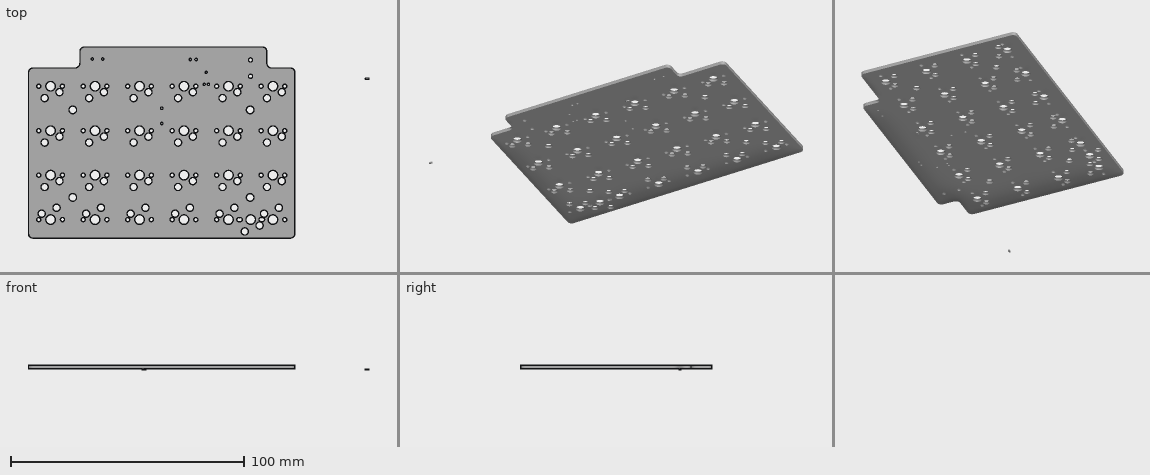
import cadquery as cq

BOARD_WIDTH = 114.2
BOARD_DEPTH = 82.0
BOARD_THICKNESS = 1.6
SHOULDER_Y = 73.0
TAB_LEFT = 22.0
TAB_WIDTH = 80.2
CORNER_RADIUS = 2.0

KEY_PITCH = 19.05
KEY_COLUMNS = 6
KEY_ROWS = 4
FIRST_KEY_X = 9.5
FIRST_KEY_Y = 8.0
EXTRA_KEY_COLUMN = KEY_COLUMNS - 1.5

STEM_HOLE_DIAMETER = 4.0
PEG_HOLE_DIAMETER = 1.7
PEG_OFFSET = 5.08
PIN_HOLE_DIAMETER = 3.0
PIN_GRID = 1.27
PIN_OFFSETS = [(2 * PIN_GRID, 4 * PIN_GRID), (-3 * PIN_GRID, 2 * PIN_GRID)]

UPRIGHT = 1
TURNED = -1

MOUNT_HOLE_DIAMETER = 3.2
MOUNT_XS = [19.0, 95.0]
MOUNT_YS = [17.5, 55.0]

PEG_PAIR_HOLES = [(95.15, 76.4), (95.15, 69.4)]
WIRE_HOLE_DIAMETER = 0.9
WIRE_HOLES = [(27.4, 76.8), (31.8, 76.8), (76.15, 71.1), (75.3, 65.95), (77.1, 65.95)]
CENTRE_HOLE_DIAMETER = 1.0
CENTRE_HOLES = [(57.15, 55.7), (57.15, 49.2)]
CONNECTOR_HOLE_DIAMETER = 0.99
CONNECTOR_HOLES = [(69.35, 76.6), (71.85, 76.6)]

CHIP_LENGTH = 1.7
CHIP_WIDTH = 0.8
CHIP_HEIGHT = 0.5
CHIP_Y = 68.32
CHIP_XS = [49.45, 145.1]


def board_blank():
    main = cq.Workplane("XY").box(BOARD_WIDTH, SHOULDER_Y, BOARD_THICKNESS, centered=False)
    tab = (
        cq.Workplane("XY")
        .box(TAB_WIDTH, BOARD_DEPTH, BOARD_THICKNESS, centered=False)
        .translate((TAB_LEFT, 0, 0))
    )
    return main.union(tab).edges("|Z").fillet(CORNER_RADIUS)


def drill(board, centres, diameter):
    """Cut a round hole through the board at each centre."""
    drills = cq.Workplane("XY").pushPoints(centres).circle(diameter / 2).extrude(BOARD_THICKNESS)
    return board.cut(drills)


def key_placement(column, row, turn):
    return FIRST_KEY_X + column * KEY_PITCH, FIRST_KEY_Y + row * KEY_PITCH, turn


def key_placements():
    """Centre and turn of every switch: the bottom row is upright, the others are turned."""
    keys = [key_placement(EXTRA_KEY_COLUMN, 0, TURNED)]
    for row in range(KEY_ROWS):
        turn = UPRIGHT if row == 0 else TURNED
        for column in range(KEY_COLUMNS):
            keys.append(key_placement(column, row, turn))
    return keys


def drill_key(board, x, y, turn):
    """Cut the stem, peg and pin holes of one key switch."""
    pins = [(x + turn * dx, y + turn * dy) for dx, dy in PIN_OFFSETS]
    board = drill(board, [(x, y)], STEM_HOLE_DIAMETER)
    board = drill(board, [(x - PEG_OFFSET, y), (x + PEG_OFFSET, y)], PEG_HOLE_DIAMETER)
    return drill(board, pins, PIN_HOLE_DIAMETER)


def make_board():
    board = board_blank()
    for x, y, turn in key_placements():
        board = drill_key(board, x, y, turn)
    board = drill(board, [(x, y) for x in MOUNT_XS for y in MOUNT_YS], MOUNT_HOLE_DIAMETER)
    board = drill(board, PEG_PAIR_HOLES, PEG_HOLE_DIAMETER)
    board = drill(board, WIRE_HOLES, WIRE_HOLE_DIAMETER)
    board = drill(board, CENTRE_HOLES, CENTRE_HOLE_DIAMETER)
    return drill(board, CONNECTOR_HOLES, CONNECTOR_HOLE_DIAMETER)


def make_chip(centre_x):
    return (
        cq.Workplane("XY")
        .center(centre_x, CHIP_Y)
        .slot2D(CHIP_LENGTH, CHIP_WIDTH)
        .extrude(-CHIP_HEIGHT)
    )


board = make_board()
chips = [make_chip(x) for x in CHIP_XS]

result = cq.Compound.makeCompound([*board.solids().vals(), *[chip.val() for chip in chips]])